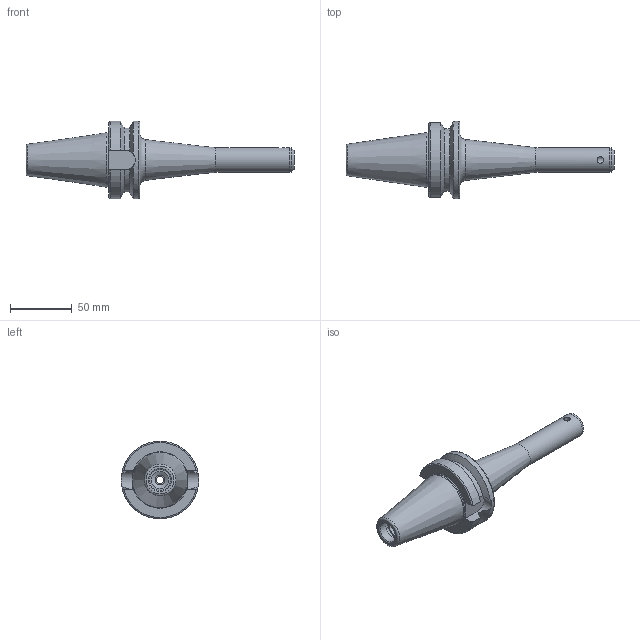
import cadquery as cq
import math


GAUGE_DIAMETER = 44.45
TAPER_RATIO = 7 / 24
SHANK_LENGTH = 65.4
SHANK_END_ROUND = 1.6

FLANGE_START = 2.0
FLANGE_LENGTH = 25.0
FLANGE_DIAMETER = 63.0
RIM_ROUND = 1.0
COLLAR_FILLET = 0.7

GROOVE_CENTER = 16.6
GROOVE_FLOOR_WIDTH = 4.6
GROOVE_FLOOR_DIAMETER = 53.0
GROOVE_WALL_ANGLE = 30.0

SLOT_WIDTH = 16.1
SLOT_END = 23.4
SLOT_FLOOR_OFFSET = 22.6

NOSE_END = 152.4
NOSE_DIAMETER = 20.0
NOSE_CYLINDER_START = 89.0
NOSE_CONE_DIAMETER = 34.4
NOSE_ROOT_FILLET = 5.0
TIP_RELIEF_DIAMETER = 19.81
TIP_RELIEF_LENGTH = 3.6
TIP_CHAMFER = 2.2

MOUTH_DIAMETER = 19.0
MOUTH_CHAMFER_LENGTH = 0.6
COUNTERBORE_DIAMETER = 17.0
COUNTERBORE_DEPTH = 9.0
RELIEF_DIAMETER = 17.5
RELIEF_LENGTH = 2.0
THREAD_DIAMETER = 13.84
THREAD_DEPTH = 40.0
DRILL_POINT_ANGLE = 118.0
COOLANT_DIAMETER = 8.0
TOOL_DIAMETER = 6.35
TOOL_DEPTH = 40.0

SCREW_HOLE_DIAMETER = 5.36
SCREW_HOLE_FROM_TIP = 11.1


def make_body():
    shank_end = -SHANK_LENGTH
    gauge_radius = GAUGE_DIAMETER / 2
    taper_slope = TAPER_RATIO / 2
    round_start = shank_end + SHANK_END_ROUND
    flange_end = FLANGE_START + FLANGE_LENGTH
    flange_radius = FLANGE_DIAMETER / 2
    floor_radius = GROOVE_FLOOR_DIAMETER / 2
    floor_start = GROOVE_CENTER - GROOVE_FLOOR_WIDTH / 2
    floor_end = GROOVE_CENTER + GROOVE_FLOOR_WIDTH / 2
    wall_slope = math.tan(math.radians(GROOVE_WALL_ANGLE))
    wall_run = (flange_radius - floor_radius) * wall_slope

    nose_radius = NOSE_DIAMETER / 2
    relief_radius = TIP_RELIEF_DIAMETER / 2
    cone_slope = (NOSE_CONE_DIAMETER / 2 - nose_radius) / (NOSE_CYLINDER_START - flange_end)
    cone_angle = math.atan(cone_slope)
    cone_start = flange_end + NOSE_ROOT_FILLET * (1 - math.sin(cone_angle))
    cone_radius = nose_radius + cone_slope * (NOSE_CYLINDER_START - cone_start)
    root_radius = cone_radius + NOSE_ROOT_FILLET * math.cos(cone_angle)

    round_radius = gauge_radius + taper_slope * round_start
    face_radius = round_radius - SHANK_END_ROUND
    corner_inset = SHANK_END_ROUND * (1 - math.sqrt(0.5))
    round_middle = (shank_end + corner_inset, round_radius - corner_inset)
    profile = (
        cq.Workplane("XY")
        .moveTo(shank_end, 0)
        .lineTo(shank_end, face_radius)
        .threePointArc(round_middle, (round_start, round_radius))
        .lineTo(0, gauge_radius)
        .lineTo(FLANGE_START - COLLAR_FILLET, gauge_radius)
        .radiusArc((FLANGE_START, gauge_radius + COLLAR_FILLET), -COLLAR_FILLET)
        .lineTo(FLANGE_START, flange_radius - RIM_ROUND)
        .radiusArc((FLANGE_START + RIM_ROUND, flange_radius), RIM_ROUND)
        .lineTo(floor_start - wall_run, flange_radius)
        .lineTo(floor_start, floor_radius)
        .lineTo(floor_end, floor_radius)
        .lineTo(floor_end + wall_run, flange_radius)
        .lineTo(flange_end - RIM_ROUND, flange_radius)
        .radiusArc((flange_end, flange_radius - RIM_ROUND), RIM_ROUND)
        .lineTo(flange_end, root_radius)
        .radiusArc((cone_start, cone_radius), -NOSE_ROOT_FILLET)
        .lineTo(NOSE_CYLINDER_START, nose_radius)
        .lineTo(NOSE_END - TIP_RELIEF_LENGTH, nose_radius)
        .lineTo(NOSE_END - TIP_CHAMFER, relief_radius)
        .lineTo(NOSE_END, relief_radius - TIP_CHAMFER)
        .lineTo(NOSE_END, 0)
        .close()
    )
    return profile.revolve(360, (0, 0, 0), (1, 0, 0))


def make_bore():
    mouth = -SHANK_LENGTH
    counterbore_end = mouth + COUNTERBORE_DEPTH
    relief_start = counterbore_end - RELIEF_LENGTH
    thread_end = mouth + THREAD_DEPTH
    thread_radius = THREAD_DIAMETER / 2
    coolant_radius = COOLANT_DIAMETER / 2
    point_length = (thread_radius - coolant_radius) / math.tan(math.radians(DRILL_POINT_ANGLE / 2))
    tool_start = NOSE_END - TOOL_DEPTH
    profile = (
        cq.Workplane("XY")
        .moveTo(mouth, 0)
        .lineTo(mouth, MOUTH_DIAMETER / 2)
        .lineTo(mouth + MOUTH_CHAMFER_LENGTH, COUNTERBORE_DIAMETER / 2)
        .lineTo(relief_start, COUNTERBORE_DIAMETER / 2)
        .lineTo(relief_start, RELIEF_DIAMETER / 2)
        .lineTo(counterbore_end, RELIEF_DIAMETER / 2)
        .lineTo(counterbore_end, thread_radius)
        .lineTo(thread_end, thread_radius)
        .lineTo(thread_end + point_length, coolant_radius)
        .lineTo(tool_start, coolant_radius)
        .lineTo(tool_start, TOOL_DIAMETER / 2)
        .lineTo(NOSE_END, TOOL_DIAMETER / 2)
        .lineTo(NOSE_END, 0)
        .close()
    )
    return profile.revolve(360, (0, 0, 0), (1, 0, 0))


def make_drive_slots():
    round_center = SLOT_END - SLOT_WIDTH / 2
    depth = FLANGE_DIAMETER / 2 - SLOT_FLOOR_OFFSET
    straight = cq.Workplane("XY").box(round_center, depth, SLOT_WIDTH, centered=(False, False, True))
    rounded = cq.Workplane("XZ").center(round_center, 0).circle(SLOT_WIDTH / 2).extrude(-depth)
    slot = straight.union(rounded).translate((0, SLOT_FLOOR_OFFSET, 0))
    return slot.union(slot.mirror("XZ"))


def make_screw_hole():
    center = NOSE_END - SCREW_HOLE_FROM_TIP
    return cq.Workplane("XY").center(center, 0).circle(SCREW_HOLE_DIAMETER / 2).extrude(NOSE_DIAMETER / 2)


result = make_body().cut(make_drive_slots()).cut(make_bore()).cut(make_screw_hole())